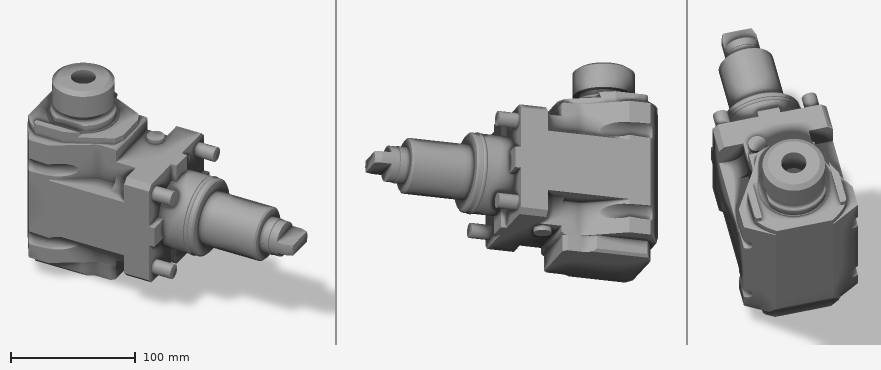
import cadquery as cq
import math


SIDE = 47.0
BODY_LEFT = -38.0
BODY_RIGHT = 44.2
BODY_TOP = 58.8
BODY_BOTTOM = -53.8
FRONT_HALF = 23.7
BEVEL_ANGLE = 60.0
BODY_EDGE_TOP = 1.5
BODY_EDGE_BOTTOM = 2.0
LEFT_EDGE_RUN = 2.8
LEFT_EDGE_RISE = 6.3

POCKET_START = -6.8
POCKET_ANGLE = 30.0
POCKET_WALL = 27.0
POCKET_FLOOR = 25.4
BEND_RADIUS = 9.5
POCKET_FILLET = 1.0
SEAT_FILLET = 9.5

FLANGE_BACK = 62.0
FLANGE_FACE = 84.5
FLANGE_CHAMFER = 4.5
KEY_HALF = 9.0
KEY_HEIGHT = 5.0

BOLT_Y = 36.7
BOLT_Z = 35.0
BOLT_RADIUS = 6.0
BOLT_END = 101.5
GROOVE_START = -28.2
GROOVE_RADIUS = 6.0
GROOVE_TILT = 8.0

PLUG_X = 56.9
PLUG_Y = 16.7
PLUG_RADIUS = 7.3
PLUG_HEIGHT = 4.0
PAD_RADIUS = 4.7
PAD_HEIGHT = 1.0

BOSS_RADIUS = 32.5
BOSS_END = 116.5
BOSS_CHAMFER = 1.5
RING_CENTRE = 109.7
RING_HALF = 1.9
RING_PROUD = 0.7
RING_GROOVE = 1.2
SHANK_RADIUS = 22.5
SHANK_END = 168.0
SHANK_CHAMFER = 1.5
TAIL_RADIUS = 15.0
TAIL_END = 175.8
RELIEF_WIDTH = 0.7
RELIEF_DEPTH = 1.0
TANG_RADIUS = 14.5
TANG_START = 183.0
TANG_TAPER = 191.3
TANG_END = 197.0
TANG_TIP = 12.7
TANG_HALF = 5.0
PIN_HOLE_X = 171.8
PIN_HOLE_RADIUS = 1.2
PIN_HOLE_DEPTH = 2.4

PLATE_RADIUS = 44.5
PLATE_TOP = 64.5
PLATE_HALF = 37.8
PLATE_RIGHT = 43.0
PLATE_RIGHT_HALF = 12.7
PLATE_TAPER_START = 2.0
PLATE_TAPER_END = 39.5
PLATE_TAPER_HALF = 20.5
RAIL_TOP = 69.0
RAIL_INNER = 32.2
RAIL_UNDERCUT = 0.7
RAIL_START = -25.5
PLATE_GROOVE_OUTER = 29.5
PLATE_GROOVE_INNER = 28.0
PLATE_GROOVE_DEPTH = 0.7

COLLAR_RADIUS = 26.8
COLLAR_CHAMFER = 0.7
COLLAR_TOP = 70.7
COLLAR_FLAT = 23.0
COLLAR_LIP = 1.2
COLLAR_LIP_FLAT = 23.7
NECK_RADIUS = 19.0
NECK_RING_RADIUS = 20.0
NECK_RING_BASE = 72.8
NUT_RADIUS = 25.1
NUT_BASE = 77.0
NUT_TOP = 99.6
NUT_FACE_RADIUS = 21.0
NUT_CHAMFER_HEIGHT = 2.8
BORE_RADIUS = 10.0

CAP_BOTTOM = -67.5
CAP_LEFT = -32.2
CAP_LEFT_HALF = 23.0
CAP_HALF = 32.2
CAP_BEND_X = 16.0
CAP_REAR_HALF = 27.3
CAP_RIGHT = 42.3
CAP_CORNER = 3.0
CAP_CHAMFER_RUN = 1.9
CAP_CHAMFER_RISE = 2.4

SIGNS = (-1, 1)
CORNERS = [(sy, sz) for sy in SIGNS for sz in SIGNS]


def box(x0, x1, y0, y1, z0, z1):
    """Axis-aligned box between two opposite corners, given in any order."""
    size = (abs(x1 - x0), abs(y1 - y0), abs(z1 - z0))
    centre = ((x0 + x1) / 2, (y0 + y1) / 2, (z0 + z1) / 2)
    return cq.Workplane("XY").box(*size).translate(centre)


def rod_x(radius, x0, x1, y=0, z=0):
    """Cylinder along X."""
    return cq.Workplane("YZ", origin=(x0, y, z)).circle(radius).extrude(x1 - x0)


def disc_z(radius, z0, z1, x=0, y=0):
    """Cylinder along Z."""
    return cq.Workplane("XY", origin=(x, y, z0)).circle(radius).extrude(z1 - z0)


def mirrored_prism(half_outline, z0, z1):
    """Prism symmetric about XZ, from the +Y half of its outline listed left to right."""
    other_half = [(x, -y) for x, y in reversed(half_outline)]
    outline = cq.Workplane("XY", origin=(0, 0, z0)).polyline(half_outline + other_half)
    return outline.close().extrude(z1 - z0)


def tall_housing():
    bevel_run = (SIDE - FRONT_HALF) / math.tan(math.radians(BEVEL_ANGLE))
    half_outline = [
        (BODY_LEFT, FRONT_HALF),
        (BODY_LEFT + bevel_run, SIDE),
        (BODY_RIGHT, SIDE),
    ]
    housing = mirrored_prism(half_outline, BODY_BOTTOM, BODY_TOP)
    housing = housing.edges(">X and >Z").chamfer(BODY_EDGE_TOP)
    housing = housing.edges(">X and <Z").chamfer(BODY_EDGE_BOTTOM)
    left_edge = (
        cq.Workplane("XZ")
        .moveTo(BODY_LEFT, BODY_BOTTOM)
        .lineTo(BODY_LEFT + LEFT_EDGE_RUN, BODY_BOTTOM)
        .lineTo(BODY_LEFT, BODY_BOTTOM + LEFT_EDGE_RISE)
        .close()
        .extrude(SIDE, both=True)
    )
    return housing.cut(left_edge)


def square_flange():
    flange = box(FLANGE_BACK, FLANGE_FACE, -SIDE, SIDE, -SIDE, SIDE)
    flange = flange.edges("|X").chamfer(FLANGE_CHAMFER)
    bridge = box(BODY_RIGHT, FLANGE_BACK, -SIDE, SIDE, -SIDE, SIDE)
    return flange.union(bridge)


def access_pocket():
    """Cutter for the pocket in the +Y, +Z corner, open upwards and outwards."""
    slope = math.tan(math.radians(POCKET_ANGLE))
    outside = SIDE + 2.4
    corner_x = POCKET_START + (SIDE - POCKET_WALL) / slope
    walls = [
        (POCKET_START - (outside - SIDE) / slope, outside),
        (corner_x, POCKET_WALL),
        (BODY_RIGHT, POCKET_WALL),
        (BODY_RIGHT, outside),
    ]
    height = BODY_TOP - BODY_BOTTOM
    front = cq.Workplane("XY", origin=(0, 0, POCKET_FLOOR)).polyline(walls).close().extrude(height)
    bend = cq.selectors.NearestToPointSelector((corner_x, POCKET_WALL, POCKET_FLOOR + height / 2))
    front = front.edges(bend).fillet(BEND_RADIUS)
    front = front.faces("<Z").edges("not(>X or >Y)").fillet(POCKET_FILLET)
    seat = box(BODY_RIGHT, FLANGE_BACK, POCKET_WALL, outside, POCKET_FLOOR, POCKET_FLOOR + height)
    seat = seat.edges("|X and <Y and <Z").fillet(SEAT_FILLET)
    return front.union(seat)


def driver_groove(sy, sz):
    """Cutter for the inclined groove across one side of the housing."""
    tilt = math.radians(GROOVE_TILT)
    direction = cq.Vector(math.cos(tilt), -sy * math.sin(tilt), 0)
    start = cq.Vector(GROOVE_START, sy * SIDE, sz * BOLT_Z)
    lead = GROOVE_RADIUS * 2
    length = FLANGE_BACK - GROOVE_START
    tool = cq.Solid.makeCylinder(GROOVE_RADIUS, lead + length, start - direction * lead, direction)
    return cq.Workplane(obj=tool)


def flange_keys():
    across_y = box(FLANGE_FACE, FLANGE_FACE + KEY_HEIGHT, -SIDE, SIDE, -KEY_HALF, KEY_HALF)
    across_z = across_y.rotate((0, 0, 0), (1, 0, 0), 90)
    return across_y.union(across_z)


def shank():
    ring_radius = BOSS_RADIUS + RING_PROUD - RING_HALF
    profile = [
        (FLANGE_FACE, 0),
        (FLANGE_FACE, BOSS_RADIUS),
        (RING_CENTRE - RING_HALF, BOSS_RADIUS),
        (RING_CENTRE - RING_HALF, BOSS_RADIUS - RING_GROOVE),
        (RING_CENTRE + RING_HALF, BOSS_RADIUS - RING_GROOVE),
        (RING_CENTRE + RING_HALF, BOSS_RADIUS),
        (BOSS_END - BOSS_CHAMFER, BOSS_RADIUS),
        (BOSS_END, BOSS_RADIUS - BOSS_CHAMFER),
        (BOSS_END, SHANK_RADIUS),
        (SHANK_END - SHANK_CHAMFER, SHANK_RADIUS),
        (SHANK_END, SHANK_RADIUS - SHANK_CHAMFER),
        (SHANK_END, TAIL_RADIUS),
        (TAIL_END, TAIL_RADIUS),
        (TAIL_END, TAIL_RADIUS - RELIEF_DEPTH),
        (TAIL_END + RELIEF_WIDTH, TAIL_RADIUS - RELIEF_DEPTH),
        (TAIL_END + RELIEF_WIDTH, TANG_RADIUS),
        (TANG_TAPER, TANG_RADIUS),
        (TANG_END, TANG_TIP),
        (TANG_END, 0),
    ]
    turned = cq.Workplane("XY").polyline(profile).close().revolve(360, (0, 0, 0), (1, 0, 0))
    seal = (
        cq.Workplane("XY")
        .center(RING_CENTRE, ring_radius)
        .circle(RING_HALF)
        .revolve(360, (-RING_CENTRE, -ring_radius, 0), (2.4 - RING_CENTRE, -ring_radius, 0))
    )
    turned = turned.union(seal)
    for sz in SIGNS:
        turned = turned.cut(
            box(TANG_START, TANG_END, -TANG_RADIUS, TANG_RADIUS, sz * TANG_HALF, sz * TANG_RADIUS)
        )
    pin_hole = (
        cq.Workplane("XZ", origin=(PIN_HOLE_X, -TAIL_RADIUS, 0))
        .circle(PIN_HOLE_RADIUS)
        .extrude(-PIN_HOLE_DEPTH)
    )
    return turned.cut(pin_hole)


def cover_plate():
    half_outline = [
        (BODY_LEFT, PLATE_HALF),
        (PLATE_TAPER_START, PLATE_HALF),
        (PLATE_TAPER_END, PLATE_TAPER_HALF),
        (PLATE_RIGHT, PLATE_RIGHT_HALF),
    ]
    blank = mirrored_prism(half_outline, BODY_TOP, RAIL_TOP)
    rounding = disc_z(PLATE_RADIUS, BODY_TOP, RAIL_TOP)
    rounding = rounding.union(box(0, PLATE_RIGHT, -PLATE_HALF, PLATE_HALF, BODY_TOP, RAIL_TOP))
    plate = blank.intersect(rounding)
    root = RAIL_INNER + RAIL_UNDERCUT
    channel = (
        cq.Workplane("YZ", origin=(BODY_LEFT, 0, 0))
        .polyline([(-root, PLATE_TOP), (-RAIL_INNER, RAIL_TOP), (RAIL_INNER, RAIL_TOP), (root, PLATE_TOP)])
        .close()
        .extrude(PLATE_RIGHT - BODY_LEFT)
    )
    plate = plate.cut(channel)
    plate = plate.cut(box(BODY_LEFT, RAIL_START, -SIDE, SIDE, PLATE_TOP, RAIL_TOP))
    groove = (
        cq.Workplane("XY", origin=(0, 0, PLATE_TOP))
        .circle(PLATE_GROOVE_OUTER)
        .circle(PLATE_GROOVE_INNER)
        .extrude(-PLATE_GROOVE_DEPTH)
    )
    return plate.cut(groove)


def spindle_nose():
    lip_base = COLLAR_TOP - COLLAR_LIP
    reach = 2 * COLLAR_RADIUS
    collar = disc_z(COLLAR_RADIUS, PLATE_TOP, lip_base).intersect(
        box(-reach, reach, -COLLAR_FLAT, COLLAR_FLAT, PLATE_TOP, lip_base)
    )
    lip = disc_z(COLLAR_RADIUS, lip_base, COLLAR_TOP).edges(">Z").chamfer(COLLAR_CHAMFER).intersect(
        box(-reach, reach, -COLLAR_LIP_FLAT, COLLAR_LIP_FLAT, lip_base, COLLAR_TOP)
    )
    profile = [
        (0, COLLAR_TOP),
        (NECK_RADIUS, COLLAR_TOP),
        (NECK_RADIUS, NECK_RING_BASE),
        (NECK_RING_RADIUS, NECK_RING_BASE),
        (NECK_RING_RADIUS, NUT_BASE),
        (NUT_RADIUS, NUT_BASE),
        (NUT_RADIUS, NUT_TOP - NUT_CHAMFER_HEIGHT),
        (NUT_FACE_RADIUS, NUT_TOP),
        (0, NUT_TOP),
    ]
    nut = cq.Workplane("XZ").polyline(profile).close().revolve(360, (0, 0, 0), (0, 1, 0))
    nut = nut.cut(disc_z(BORE_RADIUS, NUT_BASE, NUT_TOP))
    return collar.union(lip).union(nut)


def bottom_cap():
    bevel_run = (CAP_HALF - CAP_LEFT_HALF) / math.tan(math.radians(BEVEL_ANGLE))
    bend_run = (CAP_HALF - CAP_REAR_HALF) / math.tan(math.radians(POCKET_ANGLE))
    half_outline = [
        (CAP_LEFT, CAP_LEFT_HALF),
        (CAP_LEFT + bevel_run, CAP_HALF),
        (CAP_BEND_X, CAP_HALF),
        (CAP_BEND_X + bend_run, CAP_REAR_HALF),
        (CAP_RIGHT - CAP_CORNER, CAP_REAR_HALF),
        (CAP_RIGHT, CAP_REAR_HALF - CAP_CORNER),
    ]
    cap = mirrored_prism(half_outline, CAP_BOTTOM, BODY_BOTTOM)
    for sy in SIGNS:
        bend = cq.selectors.NearestToPointSelector(
            (CAP_BEND_X + bend_run, sy * CAP_REAR_HALF, (CAP_BOTTOM + BODY_BOTTOM) / 2)
        )
        cap = cap.edges(bend).fillet(BEND_RADIUS)
        lower_edge = (
            cq.Workplane("YZ", origin=(CAP_LEFT, 0, 0))
            .moveTo(sy * CAP_HALF, CAP_BOTTOM)
            .lineTo(sy * (CAP_HALF - CAP_CHAMFER_RUN), CAP_BOTTOM)
            .lineTo(sy * CAP_HALF, CAP_BOTTOM + CAP_CHAMFER_RISE)
            .close()
            .extrude(CAP_RIGHT - CAP_LEFT)
        )
        cap = cap.cut(lower_edge)
    return cap


result = tall_housing().union(square_flange())
upper_pocket = access_pocket()
for side_y, side_z in CORNERS:
    pocket = upper_pocket if side_y > 0 else upper_pocket.mirror("XZ")
    pocket = pocket if side_z > 0 else pocket.mirror("XY")
    result = result.cut(pocket)
    result = result.cut(driver_groove(side_y, side_z))

result = result.union(cover_plate()).union(spindle_nose()).union(bottom_cap())
result = result.union(flange_keys()).union(shank())
for side_y, side_z in CORNERS:
    result = result.union(rod_x(BOLT_RADIUS, FLANGE_FACE, BOLT_END, side_y * BOLT_Y, side_z * BOLT_Z))

PLUG_TOP = SIDE + PLUG_HEIGHT
result = result.union(disc_z(PLUG_RADIUS, SIDE, PLUG_TOP, PLUG_X, PLUG_Y))
result = result.union(disc_z(PLUG_RADIUS, -PLUG_TOP, -SIDE, PLUG_X, PLUG_Y))
result = result.union(rod_x(PAD_RADIUS, FLANGE_FACE, FLANGE_FACE + PAD_HEIGHT, PLUG_Y, BOLT_Z))